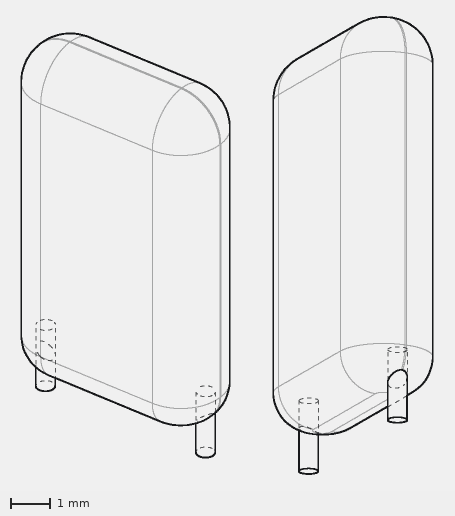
import cadquery as cq

body_width = 6.0
body_thickness = 2.5
body_height = 10.0
edge_flat = 0.04
side_round = (body_thickness - edge_flat) / 2
bottom_round = 1.0

lead_diameter = 0.5
lead_pitch = 5.08
lead_exposed = 0.88
lead_embedded = bottom_round


def make_lead(x):
    """One straight lead, with its lower part below the body."""
    return (
        cq.Workplane("XY", origin=(x, 0, -lead_exposed))
        .circle(lead_diameter / 2)
        .extrude(lead_exposed + lead_embedded)
    )


def make_body(leads):
    """The rounded body standing on Z = 0, with a matching hole for each lead."""
    slab = cq.Workplane("XY").box(
        body_width, body_thickness, body_height, centered=(True, True, False)
    )
    slab = slab.edges("|Z or >Z").fillet(side_round)
    slab = slab.faces("<Z").edges().fillet(bottom_round)
    for lead in leads:
        slab = slab.cut(lead)
    return slab


leads = [make_lead(side * lead_pitch / 2) for side in (-1, 1)]
body = make_body(leads)

result = cq.Compound.makeCompound([body.val(), *[lead.val() for lead in leads]])